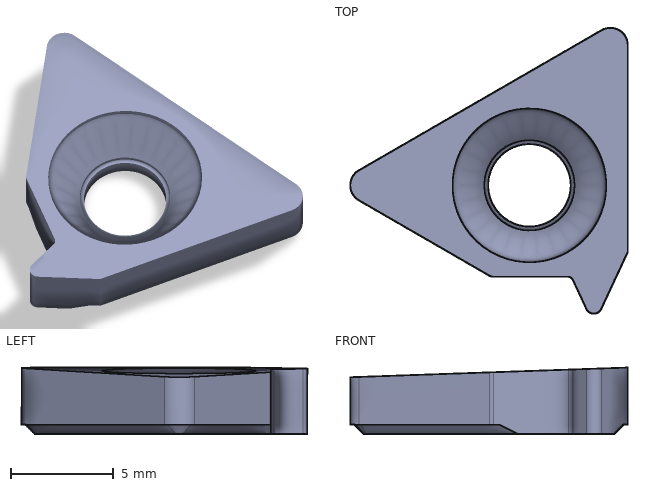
import cadquery as cq
import math

side_distance = 4.78
corner_radius = 0.85
flat_y = -4.45
flat_blend_radius = 0.39

tooth_x = 3.13
tooth_tip_y = -6.24
tooth_tip_radius = 0.4
tooth_half_angle = math.radians(25)
tooth_root_radius = 0.25

height = 3.24
top_slope = math.radians(2)

relief_height = 0.46
relief_step = 0.2

hole_radius = 2.0
seat_radius = 2.2
mouth_radius = 3.74
mouth_z = 2.67
cone_depth = 1.64
seat_depth = 0.2


def rounded_triangle_wire(inset, z):
    """Boundary of the triangle: three straight sides joined by corner arcs."""
    center_distance = 2 * (side_distance - corner_radius)
    radius = corner_radius - inset

    def corner_point(corner_angle, turn):
        corner = math.radians(corner_angle)
        normal = math.radians(corner_angle + turn)
        x = center_distance * math.cos(corner) + radius * math.cos(normal)
        y = center_distance * math.sin(corner) + radius * math.sin(normal)
        return cq.Vector(x, y, z)

    edges = []
    for angle in (60, 180, 300):
        arc_points = [corner_point(angle, turn) for turn in (-60, 0, 60)]
        edges.append(cq.Edge.makeThreePointArc(*arc_points))
        edges.append(cq.Edge.makeLine(arc_points[-1], corner_point(angle + 120, -60)))
    return cq.Wire.assembleEdges(edges)


def triangle_prism():
    outline = rounded_triangle_wire(0, 0)
    return cq.Workplane(obj=cq.Solid.extrudeLinear(outline, [], cq.Vector(0, 0, height)))


def make_body():
    """Truncated triangle with the pointed tooth at its lower right."""
    tip_center_y = tooth_tip_y + tooth_tip_radius
    tangent_dx = tooth_tip_radius * math.cos(tooth_half_angle)
    tangent_y = tip_center_y - tooth_tip_radius * math.sin(tooth_half_angle)
    flank_slope = math.tan(tooth_half_angle)
    root_x = tooth_x - tangent_dx - (flat_y - tangent_y) * flank_slope
    shoulder_y = tangent_y + (side_distance - tooth_x - tangent_dx) / flank_slope
    far = 2 * side_distance
    trim = (
        cq.Workplane("XY")
        .moveTo(-far, flat_y)
        .lineTo(root_x, flat_y)
        .lineTo(tooth_x - tangent_dx, tangent_y)
        .threePointArc((tooth_x, tooth_tip_y), (tooth_x + tangent_dx, tangent_y))
        .lineTo(side_distance, shoulder_y)
        .lineTo(side_distance, far)
        .lineTo(-far, far)
        .close()
        .extrude(height)
    )
    body = triangle_prism().intersect(trim)
    flat_start_x = -2 * side_distance - flat_y * math.sqrt(3)
    for x, radius in ((flat_start_x, flat_blend_radius), (root_x, tooth_root_radius)):
        corner_edge = cq.selectors.NearestToPointSelector((x, flat_y, height / 2))
        body = body.edges("|Z").edges(corner_edge).fillet(radius)
    return body


def make_relief():
    """Material removed by the 45 degree chamfer and small step under the triangle."""
    upper = rounded_triangle_wire(relief_step, relief_height)
    lower = rounded_triangle_wire(relief_step + relief_height, 0)
    kept = cq.Workplane(obj=cq.Solid.makeLoft([lower, upper], True))
    slab_width = 6 * side_distance
    slab = cq.Workplane("XY").box(slab_width, slab_width, relief_height, centered=(True, True, False))
    return slab.cut(kept)


def make_top_cut():
    """Wedge above the top face, which falls toward -X."""
    length = 3 * side_distance
    drop = length * math.tan(top_slope)
    wedge = (
        cq.Workplane("XZ")
        .moveTo(side_distance, height)
        .lineTo(side_distance - length, height - drop)
        .lineTo(side_distance - length, height)
        .close()
    )
    return wedge.extrude(length, both=True)


def make_hole():
    """Through hole, narrow seat, conical countersink and cylindrical mouth."""
    cone_bottom_z = mouth_z - cone_depth
    seat_z = cone_bottom_z - seat_depth
    profile = (
        cq.Workplane("XZ")
        .lineTo(hole_radius, 0)
        .lineTo(hole_radius, seat_z)
        .lineTo(seat_radius, seat_z)
        .lineTo(seat_radius, cone_bottom_z)
        .lineTo(mouth_radius, mouth_z)
        .lineTo(mouth_radius, height)
        .lineTo(0, height)
        .close()
    )
    return profile.revolve(360, (0, 0, 0), (0, 1, 0))


result = make_body().cut(make_relief()).cut(make_top_cut()).cut(make_hole())